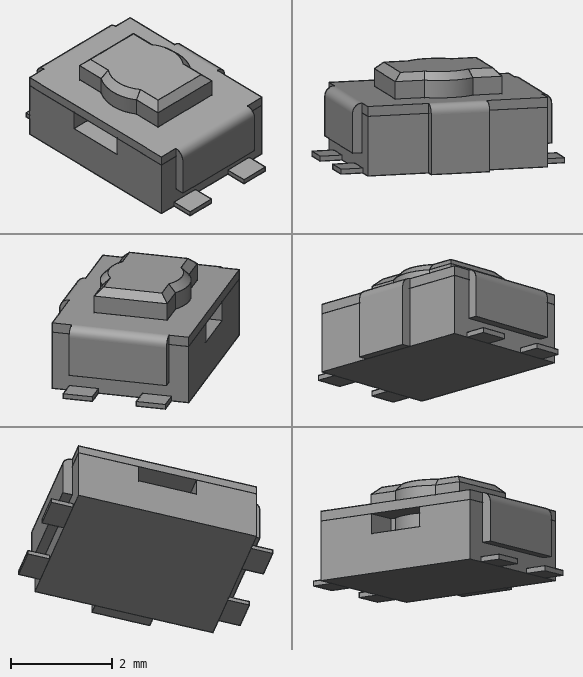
import cadquery as cq
import math

overall_length = 4.6
overall_width = 3.0
overall_height = 1.9

sheet = 0.2
cover_top = 1.4
cover_bottom = cover_top - sheet
side_tab_width = 2.0
side_tab_bottom = 0.4

base_length = 3.7
base_width = overall_width - sheet
slot_width = 1.2

button_length = 2.2
button_width = 1.5
button_diameter = 1.8
button_bottom = 0.8
button_bevel = 0.15

terminal_thickness = 0.1
terminal_width = 0.6
terminal_pitch = 1.5
terminal_length = (overall_length - base_length) / 2


def box_from(x, y, z, length, width, height):
    """Box centred on x and y, standing on height z."""
    return (
        cq.Workplane("XY")
        .box(length, width, height, centered=(True, True, False))
        .translate((x, y, z))
    )


def button_blank():
    """Button shape with square edges, also used to cut its opening."""
    height = overall_height - button_bottom
    block = box_from(0, 0, button_bottom, button_length, button_width, height)
    disc = cq.Workplane("XY").workplane(offset=button_bottom).circle(button_diameter / 2).extrude(height)
    return block.union(disc)


def make_button():
    return button_blank().faces(">Z").chamfer(button_bevel)


def make_base():
    block = box_from(0, 0, 0, base_length, base_width, cover_bottom)
    slot = box_from(
        0, -base_width / 4, button_bottom,
        slot_width, base_width / 2, cover_bottom - button_bottom,
    )
    return block.cut(slot).cut(button_blank())


def bend_waste(outer_side):
    """Corner outside the round bend of the tab on the given side of the cover."""
    bend_x = base_length / 2
    bend_y = base_width / 2
    plane, direction, bend_start, bend_length = {
        "<X": ("XZ", -1, bend_x, side_tab_width),
        ">X": ("XZ", 1, bend_x, side_tab_width),
        ">Y": ("YZ", 1, bend_y, slot_width),
    }[outer_side]
    halfway = sheet * math.sqrt(0.5)
    inner = direction * bend_start
    outer = direction * (bend_start + sheet)
    return (
        cq.Workplane(plane)
        .moveTo(inner, cover_top)
        .threePointArc((inner + direction * halfway, cover_bottom + halfway), (outer, cover_bottom))
        .lineTo(outer, cover_top)
        .close()
        .extrude(bend_length / 2, both=True)
    )


def make_cover():
    plate = box_from(0, 0, cover_bottom, base_length, base_width, sheet)
    side_height = cover_top - side_tab_bottom
    side_x = (base_length + sheet) / 2
    left_tab = box_from(-side_x, 0, side_tab_bottom, sheet, side_tab_width, side_height)
    right_tab = box_from(side_x, 0, side_tab_bottom, sheet, side_tab_width, side_height)
    rear_tab = box_from(0, (base_width + sheet) / 2, 0, slot_width, sheet, cover_top)

    cover = plate.union(left_tab).union(right_tab).union(rear_tab)

    for outer_side in ("<X", ">X", ">Y"):
        cover = cover.cut(bend_waste(outer_side))
    return cover.cut(button_blank())


def make_terminal(side, row):
    """Terminal on the given X side (-1 or 1) and Y row (-1 or 1)."""
    return box_from(
        side * (base_length + terminal_length) / 2, row * terminal_pitch / 2, 0,
        terminal_length, terminal_width, terminal_thickness,
    )


base = make_base()
cover = make_cover()
button = make_button()
terminals = [make_terminal(side, row).val() for side in (-1, 1) for row in (-1, 1)]

result = cq.Compound.makeCompound([base.val(), cover.val(), button.val(), *terminals])